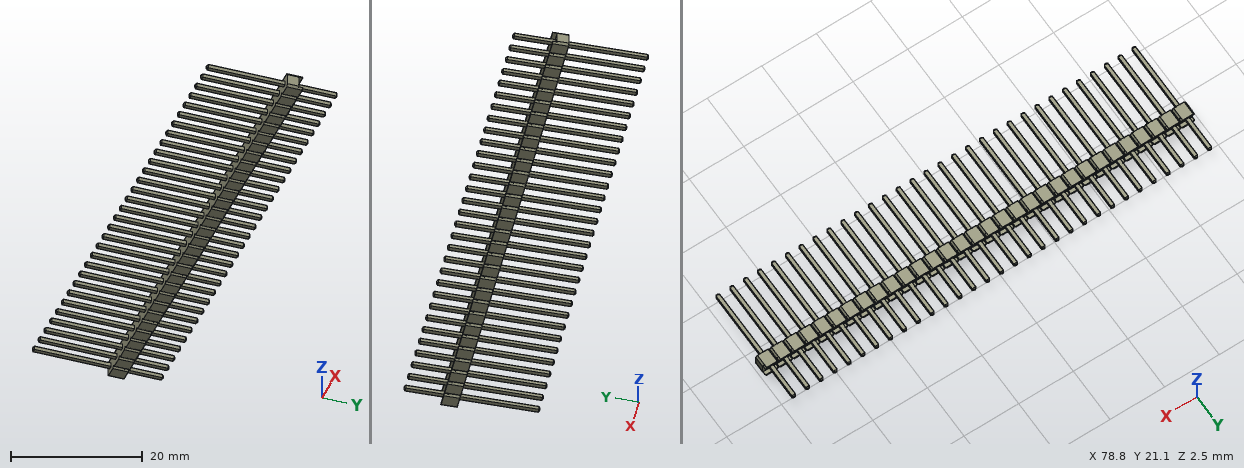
import cadquery as cq

row_length = 78.75
pin_count = 31
pitch = row_length / pin_count

body_height = 2.5
body_depth = body_height
chamfer_width = 0.3
chamfer_height = 0.4

channel_depth = 0.67
channel_height = 1.9

pin_width = 0.645
front_pin_length = 12.6
back_pin_length = 6.0
pin_shift = -0.1
tip_length = 0.2
tip_width = 0.3

body_front = -body_depth / 2
body_back = body_depth / 2
pin_front = body_front - front_pin_length
pin_back = body_back + back_pin_length
segment_places = [(index - (pin_count - 1) / 2) * pitch for index in range(pin_count)]
pin_places = [x + pin_shift for x in segment_places]


def plane_at(y):
    """Plane facing +Y with its local axes along X and -Z."""
    return cq.Workplane(cq.Plane(origin=(0, y, 0), xDir=(1, 0, 0), normal=(0, 1, 0)))


def make_body():
    """Body strip with V notches on top and bottom between neighbouring pins, with a channel in its back."""
    top = body_height / 2
    shoulder = top - chamfer_height
    half_flat = pitch / 2 - chamfer_width
    upper = []
    for x in segment_places:
        upper.append((x - pitch / 2, shoulder))
        upper.append((x - half_flat, top))
        upper.append((x + half_flat, top))
    upper.append((row_length / 2, shoulder))
    lower = [(x, -z) for x, z in reversed(upper)]
    strip = plane_at(body_front).polyline(upper + lower).close().extrude(body_depth)
    channel = plane_at(body_back - channel_depth).rect(row_length, channel_height).extrude(channel_depth)
    return strip.cut(channel)


def make_pin():
    """Square pin at X = 0, tapered to a smaller square at each end."""
    shaft_start = pin_front + tip_length
    shaft_end = pin_back - tip_length
    shaft = plane_at(shaft_start).rect(pin_width, pin_width).extrude(shaft_end - shaft_start)
    front_tip = plane_at(pin_front).rect(tip_width, tip_width)
    front_tip = front_tip.workplane(offset=tip_length).rect(pin_width, pin_width).loft(ruled=True)
    back_tip = plane_at(shaft_end).rect(pin_width, pin_width)
    back_tip = back_tip.workplane(offset=tip_length).rect(tip_width, tip_width).loft(ruled=True)
    return shaft.union(front_tip).union(back_tip)


pin = make_pin().val()
pins = [pin.translate(cq.Vector(x, 0, 0)) for x in pin_places]
result = cq.Workplane(make_body().val().fuse(*pins))